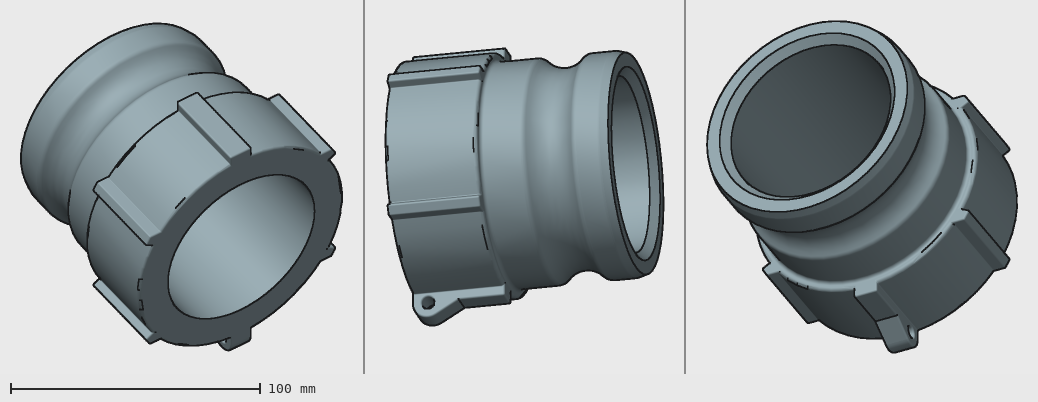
import cadquery as cq
import math

total_length = 90.93
bore_radius = 71.12 / 2
shank_radius = 91.49 / 2
hub_radius = 99.06 / 2
hub_length = 38.1
hub_start = total_length - hub_length

nose_taper_length = 3.81
nose_taper_drop = 1.1
nose_blend_radius = 3.175
bore_mouth_radius = 39.0
bore_mouth_depth = 3.4

groove_center_x = 24.65
groove_radius = 12.7
groove_floor_radius = 40.8
groove_lip_radius = 3.175

hub_root_fillet = 1.6
hub_front_round = 1.6
hub_rear_round = 1.2

rib_tip_radius = 53.34
rib_width = 10.16
rib_round = 0.762
rib_root_fillet = 0.4
rib_embed_radius = 46.5
side_rib_angle = 30
side_rib_top_z = 30.48

lug_radius = 6.35
lug_hole_diameter = 5.08
lug_hole_round = 0.762
lug_ramp_run = 2 * lug_radius

match_tolerance = 0.01


def make_body():
    """Revolved adapter: tapered nose, cam groove, hub and through bore."""
    groove_axis_radius = groove_floor_radius + groove_radius
    lip_axis_radius = shank_radius - groove_lip_radius
    axis_drop = groove_axis_radius - lip_axis_radius
    axis_distance = groove_radius + groove_lip_radius
    lip_offset = math.sqrt(axis_distance**2 - axis_drop**2)
    tangent_share = groove_radius / axis_distance
    tangent_offset = lip_offset * tangent_share
    tangent_radius = groove_axis_radius - axis_drop * tangent_share

    half_angle = math.atan2(lip_offset, axis_drop) / 2
    lip_mid_offset = lip_offset - groove_lip_radius * math.sin(half_angle)
    lip_mid_radius = lip_axis_radius + groove_lip_radius * math.cos(half_angle)

    taper_angle = math.atan2(nose_taper_drop, nose_taper_length)
    blend_half_run = nose_blend_radius * math.tan(taper_angle / 2)
    blend_center_x = nose_taper_length + blend_half_run
    blend_center_radius = shank_radius - nose_blend_radius

    def blend_point(angle):
        return (
            blend_center_x - nose_blend_radius * math.sin(angle),
            blend_center_radius + nose_blend_radius * math.cos(angle),
        )

    def quarter_mid(center_x, center_radius, radius, x_sign, radial_sign):
        reach = radius * math.sqrt(0.5)
        return (center_x + x_sign * reach, center_radius + radial_sign * reach)

    root_center_x = hub_start - hub_root_fillet
    root_center_radius = shank_radius + hub_root_fillet
    front_center_x = hub_start + hub_front_round
    front_center_radius = hub_radius - hub_front_round
    rear_center_x = total_length - hub_rear_round
    rear_center_radius = hub_radius - hub_rear_round

    profile = (
        cq.Workplane("XY")
        .moveTo(bore_mouth_depth, bore_radius)
        .lineTo(0, bore_mouth_radius)
        .lineTo(0, shank_radius - nose_taper_drop)
        .lineTo(*blend_point(taper_angle))
        .threePointArc(blend_point(taper_angle / 2), (blend_center_x, shank_radius))
        .lineTo(groove_center_x - lip_offset, shank_radius)
        .threePointArc(
            (groove_center_x - lip_mid_offset, lip_mid_radius),
            (groove_center_x - tangent_offset, tangent_radius),
        )
        .threePointArc(
            (groove_center_x, groove_floor_radius),
            (groove_center_x + tangent_offset, tangent_radius),
        )
        .threePointArc(
            (groove_center_x + lip_mid_offset, lip_mid_radius),
            (groove_center_x + lip_offset, shank_radius),
        )
        .lineTo(root_center_x, shank_radius)
        .threePointArc(
            quarter_mid(root_center_x, root_center_radius, hub_root_fillet, 1, -1),
            (hub_start, root_center_radius),
        )
        .lineTo(hub_start, front_center_radius)
        .threePointArc(
            quarter_mid(front_center_x, front_center_radius, hub_front_round, -1, 1),
            (front_center_x, hub_radius),
        )
        .lineTo(rear_center_x, hub_radius)
        .threePointArc(
            quarter_mid(rear_center_x, rear_center_radius, hub_rear_round, 1, 1),
            (total_length, rear_center_radius),
        )
        .lineTo(total_length, bore_radius)
        .close()
    )
    return profile.revolve(360, (0, 0, 0), (1, 0, 0))


def make_top_rib():
    """Straight wrench rib along the top of the hub, square at its front tip edge."""
    height = rib_tip_radius - rib_embed_radius
    rib = cq.Workplane("XY").box(hub_length, rib_width, height, centered=(False, True, False))
    rib = rib.edges("|Z or (|X and >Z) or (>X and >Z)").fillet(rib_round)
    return rib.translate((hub_start, 0, rib_embed_radius))


def make_bottom_rib():
    """Bottom rib whose rear end swells into a lanyard lug with a cross hole."""
    lug_x = total_length - lug_radius
    lug_z = -rib_tip_radius
    ramp_angle = math.asin(lug_radius / lug_ramp_run)
    tangent_dx = lug_radius * math.sin(ramp_angle)
    tangent_z = lug_z - lug_radius * math.cos(ramp_angle)
    outline = (
        cq.Workplane("XZ")
        .moveTo(hub_start, -rib_embed_radius)
        .lineTo(hub_start, lug_z)
        .lineTo(lug_x - lug_ramp_run, lug_z)
        .lineTo(lug_x - tangent_dx, tangent_z)
        .threePointArc((lug_x + tangent_dx, tangent_z), (total_length, lug_z))
        .lineTo(total_length, -rib_embed_radius)
        .close()
    )
    rib = outline.extrude(rib_width / 2, both=True)
    front_tip_edge = cq.selectors.NearestToPointSelector((hub_start, 0, lug_z))
    rib = rib.edges(front_tip_edge).fillet(rib_round)
    rib = rib.faces("<Y or >Y").edges("not >Z").fillet(rib_round)

    hole_start = cq.Workplane("XZ", origin=(lug_x, 0, lug_z))
    hole = hole_start.circle(lug_hole_diameter / 2).extrude(rib_width, both=True)
    rib = rib.cut(hole)
    mouth_edges = cq.selectors.RadiusNthSelector(0)
    return rib.faces("<Y or >Y").edges("%CIRCLE").edges(mouth_edges).fillet(lug_hole_round)


def make_side_rib():
    """Upper +Y rib: level top face, radial underside and a tip square to that radius."""
    angle = math.radians(side_rib_angle)
    base_y = rib_embed_radius * math.cos(angle)
    tip_top_y = (rib_tip_radius - side_rib_top_z * math.sin(angle)) / math.cos(angle)
    inner_top_y = math.sqrt(rib_embed_radius**2 - side_rib_top_z**2)
    rib = (
        cq.Workplane("YZ", origin=(hub_start, 0, 0))
        .moveTo(inner_top_y, side_rib_top_z)
        .lineTo(tip_top_y, side_rib_top_z)
        .lineTo(rib_tip_radius * math.cos(angle), rib_tip_radius * math.sin(angle))
        .lineTo(base_y, rib_embed_radius * math.sin(angle))
        .close()
        .extrude(hub_length)
    )
    outward = cq.Vector(0, math.cos(angle), math.sin(angle))
    exposed_reach = rib_embed_radius + rib_round
    exposed = [edge for edge in rib.edges().vals() if edge.Center().dot(outward) > exposed_reach]
    return rib.newObject(exposed).fillet(rib_round)


def make_side_ribs():
    """All four side ribs, mirrored from the upper +Y one."""
    side_rib = make_side_rib()
    upper_ribs = side_rib.union(side_rib.mirror("XZ"))
    return upper_ribs.union(upper_ribs.mirror("XY"))


def fillet_rib_roots(part):
    """Blend the long straight edges where the rib flanks meet the hub cylinder."""
    roots = [
        edge for edge in part.edges("|X").vals()
        if abs(math.hypot(edge.Center().y, edge.Center().z) - hub_radius) < match_tolerance
    ]
    return part.newObject(roots).fillet(rib_root_fillet)


ribs = make_top_rib().union(make_bottom_rib()).union(make_side_ribs())
result = fillet_rib_roots(make_body().union(ribs))